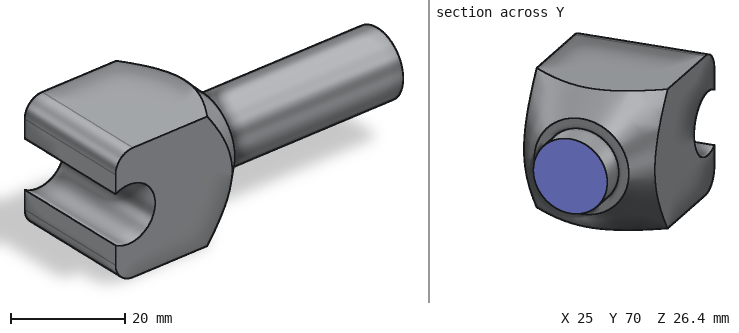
import cadquery as cq

total_length = 70.0
head_width = 25.0
head_height = 26.4
head_length = 30.0
rod_diameter = 14.2

front_edge_radius = 4.0
shoulder_radius = 9.0
socket_radius = 6.0
socket_center_depth = 3.0


def make_head():
    """Block with its two front edges along X rounded."""
    block = cq.Workplane("XY").box(head_width, head_length, head_height)
    block = block.translate((0, head_length / 2, 0))
    return block.faces("<Y").edges("|X").fillet(front_edge_radius)


def make_shoulder_envelope():
    """Solid of revolution about Y whose 45 degree cone trims the back of the head."""
    outer_radius = head_width / 2 + head_height / 2
    cone_length = outer_radius - shoulder_radius
    return (
        cq.Workplane("XY")
        .moveTo(0, 0)
        .lineTo(outer_radius, 0)
        .lineTo(outer_radius, head_length - cone_length)
        .lineTo(shoulder_radius, head_length)
        .lineTo(0, head_length)
        .close()
        .revolve(360, (0, 0, 0), (0, 1, 0))
    )


def make_socket():
    """Cross cylinder along X that breaks out through the front face."""
    return (
        cq.Workplane("YZ")
        .center(socket_center_depth, 0)
        .circle(socket_radius)
        .extrude(head_width, both=True)
    )


def make_rod():
    """Round rod from inside the head to the far end; it starts behind the socket."""
    rod_start = (socket_center_depth + socket_radius + head_length) / 2
    return (
        cq.Workplane("XZ", origin=(0, rod_start, 0))
        .circle(rod_diameter / 2)
        .extrude(rod_start - total_length)
    )


head = make_head().intersect(make_shoulder_envelope()).cut(make_socket())
result = head.union(make_rod())